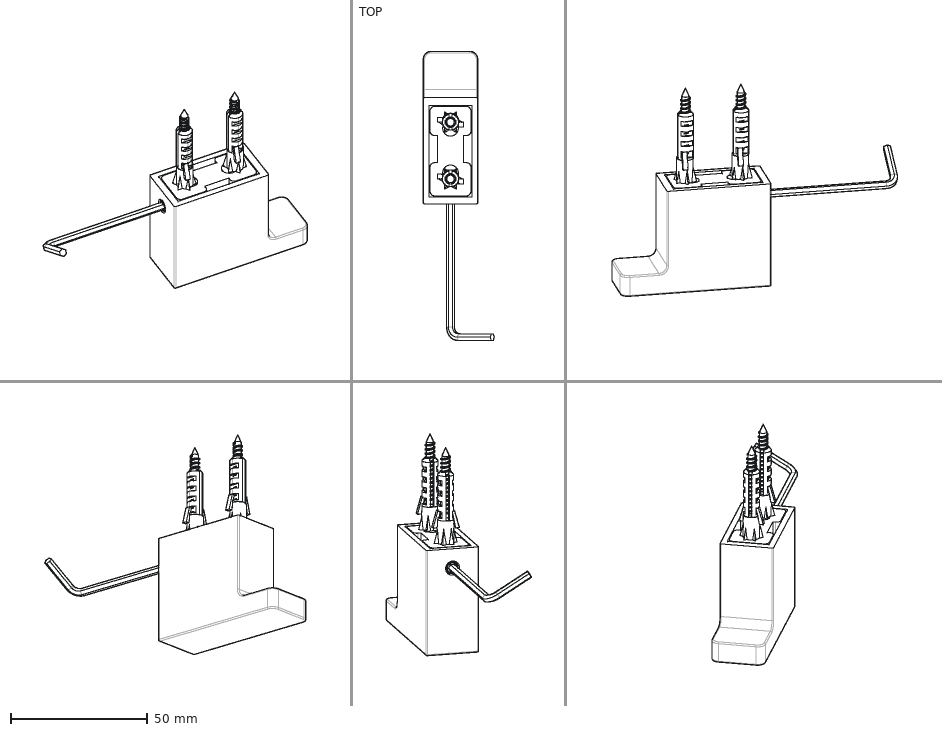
import cadquery as cq
import math


HOUSING_WIDTH = 20.0
HOUSING_DEPTH = 39.0
HOUSING_HEIGHT = 40.0
FOOT_LENGTH = 17.0
FOOT_HEIGHT = 8.1
CORNER_RADIUS = 3.0
EDGE_RADIUS = 0.5

POCKET_WIDTH = 15.6
POCKET_LENGTH = 33.5
POCKET_FRONT_WALL = 2.6
INSERT_GAP = 0.3
INSERT_CORNER_RADIUS = 1.8
NOTCH_LENGTH = 10.0
NOTCH_DEPTH = 2.6
NOTCH_CORNER_RADIUS = 1.6
NOTCH_MIDDLE = 20.1
RIDGE_RADIUS = 5.9
RIDGE_COVER = 4.2
BOWL_RADIUS = 2.9
BOWL_OFFSET = 2.2
SCREW_MIDDLE = 19.6
SCREW_SPACING = 20.8

SCREW_TIP = 36.0
TIP_LENGTH = 3.1
SHANK_TOP = 9.8
CORE_RADIUS = 1.4
THREAD_RADIUS = 1.8
THREAD_ROOT_HEIGHT = 0.7
THREAD_CREST_HEIGHT = 0.3
THREAD_ROOT_OVERLAP = 0.1
THREAD_PITCH = 1.6
THREAD_TURNS = 14
THREAD_START = 10.3

BORE_RADIUS = 1.9
PLUG_RADIUS = 3.0
PLUG_TOP = 27.2
PLUG_CHAMFER_HEIGHT = 1.4
PLUG_CHAMFER_WIDTH = 1.2
PLUG_BASE_RADIUS = 3.1
PLUG_BASE_OFFSET = 0.2
PLUG_BASE_HEIGHT = 8.9
SLIT_WIDTH = 1.3
SIDE_FLAT = 2.0
SIDE_NOTCH_HEIGHT = 1.8
SIDE_NOTCH_COUNT = 3
SIDE_NOTCH_PITCH = 3.9
SIDE_NOTCH_TOP = 24.0
WINDOW_BOTTOM = 9.8
WING_WIDTH = 1.8
WING_BOTTOM = 5.8
WING_SPREAD = 4.8
WING_INNER_SPREAD = 3.3
STAR_BOTTOM_RADIUS = 4.3
STAR_TOP_RADIUS = 2.1

KEY_HEIGHT = 32.6
SET_SCREW_RADIUS = 2.2
SET_SCREW_RECESS = 0.3
SET_SCREW_CHAMFER = 0.3
HOLE_CHAMFER = 0.4
KEY_FLATS = 2.5
KEY_ANGLE = 30
HEX_TURN = 30
KEY_REACH = 48.8
KEY_ARM = 17.7
KEY_BEND_RADIUS = 3.7
SOCKET_DEPTH = 1.5

pocket_middle = POCKET_FRONT_WALL + POCKET_LENGTH / 2
pocket_depth = RIDGE_COVER + RIDGE_RADIUS
pocket_floor = HOUSING_HEIGHT - pocket_depth
insert_width = POCKET_WIDTH - 2 * INSERT_GAP
insert_length = POCKET_LENGTH - 2 * INSERT_GAP
insert_front = POCKET_FRONT_WALL + INSERT_GAP


def front_plane(y):
    """Sketch plane on the key axis at the given Y, with its normal toward +Y."""
    return cq.Plane(origin=(0, y, KEY_HEIGHT), xDir=(-1, 0, 0), normal=(0, 1, 0))


def make_housing():
    back = HOUSING_DEPTH + FOOT_LENGTH
    profile = [(0, 0), (back, 0), (back, FOOT_HEIGHT), (HOUSING_DEPTH, FOOT_HEIGHT),
               (HOUSING_DEPTH, HOUSING_HEIGHT), (0, HOUSING_HEIGHT)]
    body = cq.Workplane("YZ").polyline(profile).close().extrude(HOUSING_WIDTH / 2, both=True)
    inside_corner = cq.selectors.NearestToPointSelector((0, HOUSING_DEPTH, FOOT_HEIGHT))
    body = body.edges(inside_corner).fillet(CORNER_RADIUS)
    body = body.faces(">Y").edges("|Z").fillet(CORNER_RADIUS)

    foot_rear_edge = cq.selectors.NearestToPointSelector((0, back, FOOT_HEIGHT))
    rounded_edges = body.faces("<Y").edges("|Z").add(body.faces("<Z").edges())
    body = rounded_edges.add(body.edges(foot_rear_edge)).fillet(EDGE_RADIUS)

    pocket = cq.Workplane("XY", origin=(0, pocket_middle, pocket_floor)).rect(
        POCKET_WIDTH, POCKET_LENGTH).extrude(pocket_depth)
    return body.cut(pocket).union(make_ridge()).cut(make_set_screw_hole())


def make_ridge():
    """Half-round ridge that crosses the pocket floor from wall to wall."""
    ridge = cq.Workplane("YZ", origin=(0, NOTCH_MIDDLE, pocket_floor)).moveTo(-RIDGE_RADIUS, 0)
    ridge = ridge.threePointArc((0, RIDGE_RADIUS), (RIDGE_RADIUS, 0)).close()
    return ridge.extrude(POCKET_WIDTH / 2, both=True)


def make_set_screw_hole():
    mouth_radius = SET_SCREW_RADIUS + HOLE_CHAMFER
    hole = cq.Workplane(front_plane(0)).circle(SET_SCREW_RADIUS).extrude(POCKET_FRONT_WALL)
    mouth = cq.Solid.makeCone(mouth_radius, SET_SCREW_RADIUS, HOLE_CHAMFER,
                              cq.Vector(0, 0, KEY_HEIGHT), cq.Vector(0, 1, 0))
    return hole.union(cq.Workplane(mouth))


def make_insert():
    block = cq.Workplane("XY", origin=(0, pocket_middle, pocket_floor)).rect(
        insert_width, insert_length).extrude(pocket_depth).edges("|Z").fillet(INSERT_CORNER_RADIUS)

    notches = cq.Workplane("XY", origin=(0, NOTCH_MIDDLE, pocket_floor)).pushPoints(
        [(-insert_width / 2, 0), (insert_width / 2, 0)]).rect(
        2 * NOTCH_DEPTH, NOTCH_LENGTH).extrude(pocket_depth)
    block = block.cut(notches)
    mouth_reach = NOTCH_LENGTH / 2 + INSERT_GAP
    notch_mouth = cq.selectors.BoxSelector(
        (-HOUSING_WIDTH, NOTCH_MIDDLE - mouth_reach, 0),
        (HOUSING_WIDTH, NOTCH_MIDDLE + mouth_reach, HOUSING_HEIGHT))
    block = block.edges("|Z").edges(notch_mouth).edges("<X or >X").fillet(NOTCH_CORNER_RADIUS)
    block = block.cut(make_ridge())

    for side in (-1, 1):
        screw_y = SCREW_MIDDLE + side * SCREW_SPACING / 2
        bowl = cq.Workplane("XY").sphere(BOWL_RADIUS).translate(
            (0, screw_y - side * BOWL_OFFSET, HOUSING_HEIGHT))
        hole = cq.Workplane("XY", origin=(0, screw_y, pocket_floor)).circle(
            BORE_RADIUS).extrude(pocket_depth)
        block = block.cut(bowl).cut(hole)
    return block


def make_screw():
    tip_base = SCREW_TIP - TIP_LENGTH
    profile = [(0, -pocket_depth), (BORE_RADIUS, -pocket_depth), (BORE_RADIUS, SHANK_TOP),
               (CORE_RADIUS, SHANK_TOP), (CORE_RADIUS, tip_base), (0, SCREW_TIP)]
    core = cq.Workplane("XZ").polyline(profile).close().revolve(360, (0, 0, 0), (0, 1, 0))

    root_radius = CORE_RADIUS - THREAD_ROOT_OVERLAP
    path = cq.Workplane(cq.Wire.makeHelix(THREAD_PITCH, THREAD_PITCH * THREAD_TURNS, root_radius))
    ridge = cq.Workplane("XZ").polyline([
        (root_radius, -THREAD_ROOT_HEIGHT / 2), (THREAD_RADIUS, -THREAD_CREST_HEIGHT / 2),
        (THREAD_RADIUS, THREAD_CREST_HEIGHT / 2), (root_radius, THREAD_ROOT_HEIGHT / 2),
    ]).close().sweep(path, isFrenet=True)
    return core.union(ridge.translate((0, 0, THREAD_START)))


def half_turn(body):
    return body.rotate((0, 0, 0), (0, 0, 1), 180)


def make_plug():
    sleeve = cq.Workplane("XY", origin=(0, 0, PLUG_BASE_HEIGHT)).circle(PLUG_RADIUS).extrude(
        PLUG_TOP - PLUG_BASE_HEIGHT).faces(">Z").chamfer(PLUG_CHAMFER_HEIGHT, PLUG_CHAMFER_WIDTH)
    base = cq.Workplane("XY").center(0, PLUG_BASE_OFFSET).circle(PLUG_BASE_RADIUS).extrude(PLUG_BASE_HEIGHT)
    plug = sleeve.union(base)

    window_top = SIDE_NOTCH_TOP - SIDE_NOTCH_COUNT * SIDE_NOTCH_PITCH
    openings = [(SIDE_NOTCH_TOP - i * SIDE_NOTCH_PITCH, SIDE_NOTCH_HEIGHT)
                for i in range(SIDE_NOTCH_COUNT)]
    openings.append((window_top, window_top - WINDOW_BOTTOM))
    for top, height in openings:
        opening = cq.Workplane("XY").box(
            PLUG_RADIUS, 2 * PLUG_RADIUS, height, centered=(False, True, False)).translate(
            (SIDE_FLAT, 0, top - height))
        plug = plug.cut(opening).cut(half_turn(opening))

    slit = cq.Workplane("XY", origin=(0, 0, PLUG_BASE_HEIGHT)).rect(
        SLIT_WIDTH, 2 * PLUG_RADIUS).extrude(PLUG_TOP)

    flare = cq.Workplane("XY").polygon(3, 2 * STAR_BOTTOM_RADIUS).workplane(
        offset=PLUG_BASE_HEIGHT).polygon(3, 2 * STAR_TOP_RADIUS).loft(ruled=True)
    plug = plug.union(flare).union(half_turn(flare))

    wing = cq.Workplane("XZ").polyline([
        (SIDE_FLAT, window_top), (PLUG_RADIUS, window_top),
        (WING_SPREAD, WING_BOTTOM), (WING_INNER_SPREAD, WING_BOTTOM),
    ]).close().extrude(WING_WIDTH)
    plug = plug.union(wing).union(half_turn(wing)).cut(slit)

    bore = cq.Workplane("XY").circle(BORE_RADIUS).extrude(PLUG_TOP)
    return plug.cut(bore)


def make_hex_key():
    tip = insert_front - SOCKET_DEPTH
    corner_diameter = KEY_FLATS / math.cos(math.pi / 6)
    sag = KEY_BEND_RADIUS * (1 - math.sqrt(0.5))
    path = (cq.Workplane("XY").moveTo(0, tip).lineTo(0, KEY_BEND_RADIUS - KEY_REACH)
            .threePointArc((sag, sag - KEY_REACH), (KEY_BEND_RADIUS, -KEY_REACH))
            .lineTo(KEY_ARM, -KEY_REACH))
    key = cq.Workplane("XZ", origin=(0, tip, 0)).transformed(rotate=(0, 0, HEX_TURN)).polygon(
        6, corner_diameter).sweep(path)
    return key.rotate((0, 0, 0), (0, 1, 0), -KEY_ANGLE).translate((0, 0, KEY_HEIGHT))


def make_set_screw(key):
    length = insert_front - SET_SCREW_RECESS
    body = cq.Workplane(front_plane(SET_SCREW_RECESS)).circle(SET_SCREW_RADIUS).extrude(length)
    return body.faces("<Y").chamfer(SET_SCREW_CHAMFER).cut(key)


housing = make_housing()
insert = make_insert()
hex_key = make_hex_key()
set_screw = make_set_screw(hex_key)

screws = []
plugs = []
for side in (-1, 1):
    place = (0, SCREW_MIDDLE + side * SCREW_SPACING / 2, HOUSING_HEIGHT)
    screws.append(make_screw().translate(place).val())
    plugs.append(make_plug().translate(place).val())

result = cq.Compound.makeCompound(
    [housing.val(), insert.val(), *screws, *plugs, set_screw.val(), hex_key.val()])